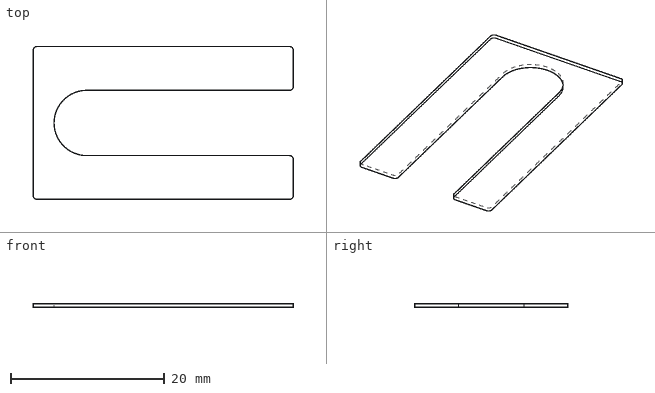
import cadquery as cq

length = 34.0
width = 20.0
thickness = 0.5
corner_radius = 0.5

slot_width = 8.5
back_web = 2.75

slot_radius = slot_width / 2
slot_center_x = -length / 2 + back_web + slot_radius
slot_run = length / 2 - slot_center_x


def make_slot():
    """Cutter for the slot: a straight run to the open edge plus its round end."""
    run = cq.Workplane("XY").box(slot_run, slot_width, thickness, centered=(False, True, False))
    end = cq.Workplane("XY").circle(slot_radius).extrude(thickness)
    return run.union(end).translate((slot_center_x, 0, 0))


plate = cq.Workplane("XY").box(length, width, thickness, centered=(True, True, False))

shim = plate.cut(make_slot())
back_corners = shim.faces("<X").edges("|Z")
mouth_corners = shim.faces(">X").edges("|Z")
result = shim.newObject(back_corners.vals() + mouth_corners.vals()).fillet(corner_radius)